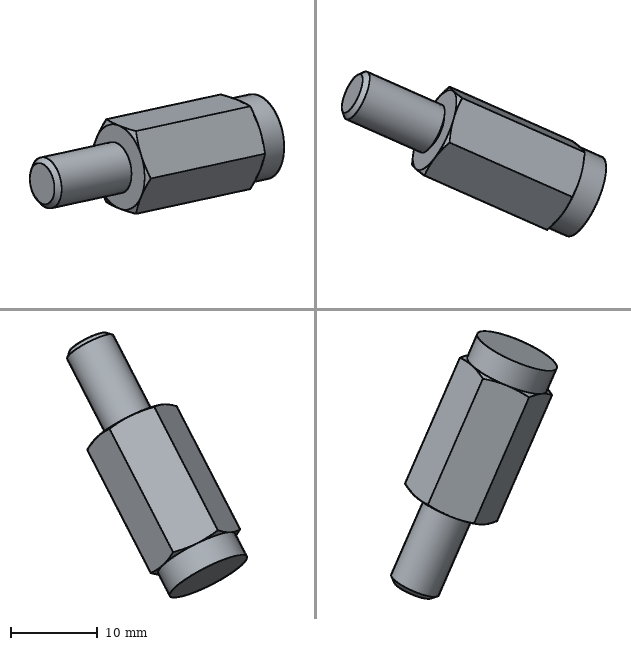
import cadquery as cq
import math

total_length = 31.0
across_flats = 10.0
stud_diameter = 6.0
neck_diameter = 4.4
body_length = 20.0
collar_length = 3.0
neck_length = 0.4
tip_chamfer = 0.6
corner_angle = 22.0

across_corners = across_flats / math.cos(math.radians(30))
flat_radius = across_flats / 2
corner_radius = across_corners / 2
stud_radius = stud_diameter / 2
neck_radius = neck_diameter / 2
corner_drop = (corner_radius - flat_radius) * math.tan(math.radians(corner_angle))
hex_end = body_length - collar_length
stud_tip = body_length - total_length


def revolve_about_y(points):
    """Revolve a closed (radius, y) profile about the Y axis."""
    return cq.Workplane("XY").polyline(points).close().revolve(360, (0, 0, 0), (0, 1, 0))


def hexagon_body():
    """Hexagon with flats facing +Z and -Z and conically chamfered corners."""
    prism = (
        cq.Workplane("XZ")
        .polygon(6, across_corners)
        .extrude(-hex_end)
    )
    envelope = revolve_about_y([
        (0, 0),
        (flat_radius, 0),
        (corner_radius, corner_drop),
        (corner_radius, hex_end - corner_drop),
        (flat_radius, hex_end),
        (0, hex_end),
    ])
    return prism.intersect(envelope)


def collar():
    """Round collar behind the hexagon, as wide as its flats."""
    return cq.Workplane("XZ", origin=(0, hex_end, 0)).circle(flat_radius).extrude(-collar_length)


def stud():
    """Stud with an undercut neck at the shoulder and a chamfered tip."""
    return revolve_about_y([
        (0, 0),
        (neck_radius, 0),
        (neck_radius, -neck_length),
        (stud_radius, -neck_length),
        (stud_radius, stud_tip + tip_chamfer),
        (stud_radius - tip_chamfer, stud_tip),
        (0, stud_tip),
    ])


result = hexagon_body().union(collar()).union(stud())